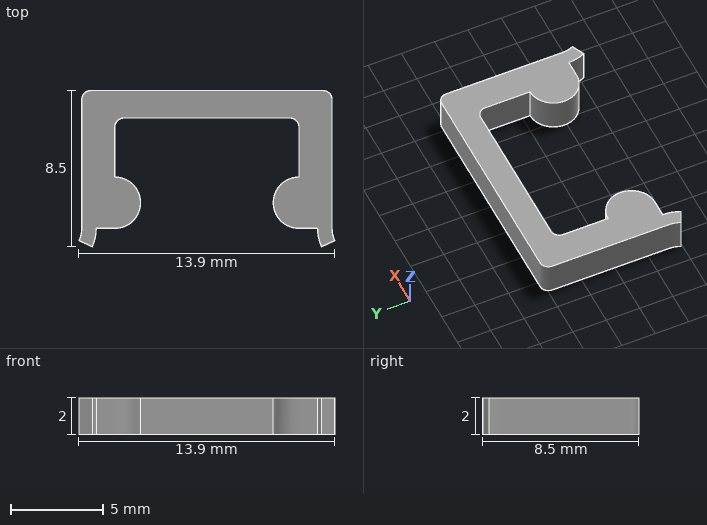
import cadquery as cq
import math

overall_width = 13.91
overall_depth = 8.5
thickness = 2.0
inner_width = 10.0
bridge_depth = 1.5
corner_radius = 0.5
lobe_radius = 1.4
tail_depth = 1.0
tail_width = 0.8
tail_angle = math.radians(25)

tail_inner_radius = tail_depth / math.sin(tail_angle)
tail_outer_radius = tail_inner_radius - tail_width
tail_flare = tail_outer_radius * (1 - math.cos(tail_angle))

outer_half_width = overall_width / 2 - tail_flare
inner_half_width = inner_width / 2
body_width = 2 * outer_half_width

arm_end_y = tail_depth - overall_depth
arm_length = -arm_end_y
bridge_inner_y = -bridge_depth
lobe_center_y = arm_end_y + lobe_radius


def make_frame():
    """U-shaped frame: a rounded block with a rounded opening."""
    block = (
        cq.Workplane("XY")
        .center(0, arm_end_y / 2)
        .rect(body_width, arm_length)
        .extrude(thickness)
        .edges("|Z and >Y")
        .fillet(corner_radius)
    )
    opening = (
        cq.Workplane("XY")
        .center(0, (bridge_inner_y + arm_end_y) / 2)
        .rect(inner_width, arm_length - bridge_depth)
        .extrude(thickness)
        .edges("|Z and >Y")
        .fillet(corner_radius)
    )
    return block.cut(opening)


def make_lobe():
    """Half-round lobe on the inner face of the left arm."""
    return (
        cq.Workplane("XY")
        .moveTo(-inner_half_width, lobe_center_y + lobe_radius)
        .threePointArc(
            (-inner_half_width + lobe_radius, lobe_center_y),
            (-inner_half_width, arm_end_y),
        )
        .close()
        .extrude(thickness)
    )


def tail_point(radius, angle):
    """Point on a tail arc, at an angle swept from the end of the left arm."""
    arc_center_x = -outer_half_width - tail_outer_radius
    return (
        arc_center_x + radius * math.cos(angle),
        arm_end_y - radius * math.sin(angle),
    )


def make_tail():
    """Tail curving outward from the end of the left arm."""
    return (
        cq.Workplane("XY")
        .moveTo(*tail_point(tail_outer_radius, 0))
        .threePointArc(
            tail_point(tail_outer_radius, tail_angle / 2),
            tail_point(tail_outer_radius, tail_angle),
        )
        .lineTo(*tail_point(tail_inner_radius, tail_angle))
        .threePointArc(
            tail_point(tail_inner_radius, tail_angle / 2),
            tail_point(tail_inner_radius, 0),
        )
        .close()
        .extrude(thickness)
    )


result = make_frame()
for left_feature in (make_lobe(), make_tail()):
    result = result.union(left_feature).union(left_feature.mirror("YZ"))
result = result.clean()